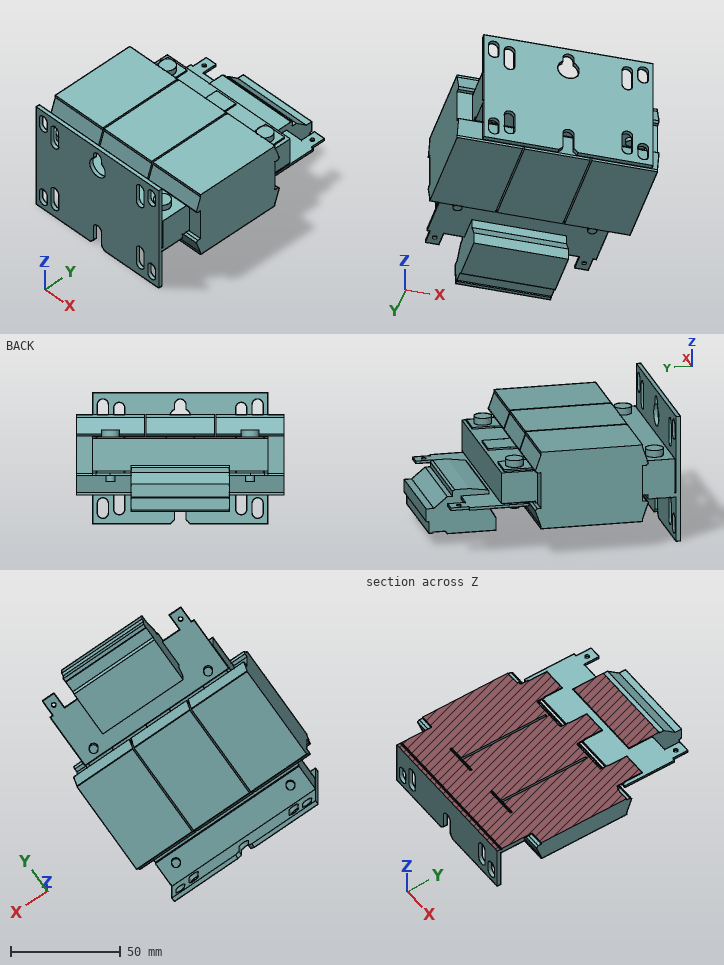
import cadquery as cq


PLATE_WIDTH = 80.2
PLATE_HEIGHT = 60.0
PLATE_THICK = 2.1
FOOT_LENGTH = 15.2
FOOT_THICK = 2.1
SLOT_WIDTH = 5.0
OUTER_SLOT = {"x": 35.4, "length": 9.3, "heights": (7.3, 52.4)}
INNER_SLOT = {"x": 27.9, "length": 13.4, "heights": (11.0, 48.9)}
KEYHOLE_Z = 48.1
KEYHOLE_DIAMETER = 10.1
KEYWAY_WIDTH = 5.2
KEYWAY_TOP = 57.0
NOTCH_TOP = 12.7
NOTCH_CHAMFER = 2.0

CORE_MID_Z = 31.6
CORE_HEIGHT = 14.8
CAP_THICK = 0.8
CAPPED_HEIGHT = CORE_HEIGHT + 2 * CAP_THICK
CORE_TOP = CORE_MID_Z + CAPPED_HEIGHT / 2
CORE_BOTTOM = CORE_MID_Z - CAPPED_HEIGHT / 2
LIMB_WIDTH = 16.0
FRONT_YOKE_START = 2.7
FRONT_YOKE_END = FRONT_YOKE_START + LIMB_WIDTH
REAR_YOKE_END = 84.0
REAR_YOKE_START = REAR_YOKE_END - LIMB_WIDTH
SPACER_START = 66.5
TAB_END = 82.4
TAB_WIDTH = 12.5
TAB_ROOT_END = 72.1
TAB_ROOT_WIDTH = 13.1

COIL_WIDTH = 31.1
COIL_GAP = 0.8
COIL_PITCH = COIL_WIDTH + COIL_GAP
COIL_XS = (-COIL_PITCH, 0, COIL_PITCH)
COIL_MID_Y = 43.3
COIL_HALF_LENGTH = 23.9
COIL_HALF_HEIGHT = 18.4
COIL_EDGE_HEIGHT = 1.3
LIP_REACH = 2.8
LIP_SHOULDER_REACH = 2.4
LIP_BASE_REACH = 1.7
LIP_SHOULDER_Z = 10.3
LIP_TIP_Z = 9.5
LIP_BASE_Z = 8.5

BOLT_X = COIL_PITCH
BOLT_YS = (10.4, 76.1)
HEAD_DIAMETER = 8.2
HEAD_HEIGHT = 3.2
SHANK_DIAMETER = 4.1
SHANK_END_Z = 19.4

SHEET_THICK = 1.3
SHEET_START = 71.2
SHEET_END = 99.0
LUG_X = 35.4
LUG_WIDTH = 6.5
LUG_END = 107.4
LUG_HOLE_Y = 102.9
LUG_HOLE_DIAMETER = 2.1

BLOCK_WIDTH = 44.8
BLOCK_PROFILE = [
    (115.2, 18.3), (111.7, 18.3), (105.3, 23.5), (102.9, 23.5), (102.9, 25.8), (101.9, 26.6),
    (95.0, 26.6), (86.4, 25.4), (85.9, 24.9), (85.9, 17.5), (82.4, 11.6), (82.4, 5.6),
    (105.3, 5.6), (106.4, 6.9), (111.9, 6.9), (112.3, 6.5), (114.0, 6.5), (114.0, 11.9),
    (115.2, 12.3),
]


def block(width, y_range, z_range, x=0):
    """Box centred on x, spanning the given y and z ranges."""
    length = y_range[1] - y_range[0]
    height = z_range[1] - z_range[0]
    corner = (x - width / 2, y_range[0], z_range[0])
    return cq.Workplane("XY").box(width, length, height, centered=False).translate(corner)


def cylinder(diameter, x, y, z_range):
    """Upright cylinder spanning the given z range."""
    plane = cq.Workplane("XY", origin=(x, y, z_range[0]))
    return plane.circle(diameter / 2).extrude(z_range[1] - z_range[0])


def extrude_along_x(profile, width, x=0):
    """Prism with a (y, z) outline, centred on x."""
    plane = cq.Workplane("YZ", origin=(x, 0, 0))
    return plane.polyline(profile).close().extrude(width / 2, both=True)


def through_plate(sketch):
    """Cutter through the mounting plate from a sketch on the XZ plane."""
    return sketch.extrude(-PLATE_THICK)


def upright_slot(x, z, length, width):
    return through_plate(cq.Workplane("XZ").center(x, z).slot2D(length, width, 90))


def mounting_plate():
    plate = block(PLATE_WIDTH, (0, PLATE_THICK), (0, PLATE_HEIGHT))
    for slot in (OUTER_SLOT, INNER_SLOT):
        for x in (-slot["x"], slot["x"]):
            for z in slot["heights"]:
                plate = plate.cut(upright_slot(x, z, slot["length"], SLOT_WIDTH))

    entry = cq.Workplane("XZ").center(0, KEYHOLE_Z).circle(KEYHOLE_DIAMETER / 2)
    plate = plate.cut(through_plate(entry))
    keyway_length = KEYWAY_TOP - KEYHOLE_Z
    keyway_mid = (KEYWAY_TOP + KEYHOLE_Z) / 2
    plate = plate.cut(upright_slot(0, keyway_mid, keyway_length, KEYWAY_WIDTH))

    half = KEYWAY_WIDTH / 2
    mouth = half + NOTCH_CHAMFER
    notch = (
        cq.Workplane("XZ")
        .moveTo(-mouth, 0)
        .lineTo(-half, NOTCH_CHAMFER)
        .lineTo(-half, NOTCH_TOP - half)
        .threePointArc((0, NOTCH_TOP), (half, NOTCH_TOP - half))
        .lineTo(half, NOTCH_CHAMFER)
        .lineTo(mouth, 0)
        .close()
    )
    plate = plate.cut(through_plate(notch))

    foot_levels = (CORE_BOTTOM - FOOT_THICK, CORE_BOTTOM)
    foot = block(PLATE_WIDTH, (PLATE_THICK, FOOT_LENGTH), foot_levels)
    return plate.union(foot)


def core():
    capped = (CORE_BOTTOM, CORE_TOP)
    bare = (CORE_BOTTOM + CAP_THICK, CORE_TOP - CAP_THICK)
    body = block(PLATE_WIDTH, (FRONT_YOKE_START, FRONT_YOKE_END), capped)
    body = body.union(block(PLATE_WIDTH, (SPACER_START, REAR_YOKE_START), capped))
    body = body.union(block(PLATE_WIDTH, (REAR_YOKE_START, REAR_YOKE_END), bare))
    limb_offset = (PLATE_WIDTH - LIMB_WIDTH) / 2
    for x in (-limb_offset, 0, limb_offset):
        body = body.union(block(LIMB_WIDTH, (FRONT_YOKE_END, SPACER_START), capped, x))
    for x in COIL_XS:
        body = body.union(block(TAB_WIDTH, (SPACER_START, TAB_END), capped, x))
        body = body.union(block(TAB_ROOT_WIDTH, (SPACER_START, TAB_ROOT_END), capped, x))
    return body


def coils():
    quarter = [
        (0, LIP_BASE_Z),
        (LIP_BASE_REACH, LIP_BASE_Z),
        (LIP_REACH, LIP_TIP_Z),
        (LIP_SHOULDER_REACH, LIP_SHOULDER_Z),
        (0, COIL_HALF_HEIGHT - COIL_EDGE_HEIGHT),
        (0, COIL_HALF_HEIGHT),
    ]
    upper_rear = [(COIL_HALF_LENGTH + reach, z) for reach, z in quarter]
    upper_front = [(-y, z) for y, z in reversed(upper_rear)]
    upper = upper_rear + upper_front
    outline = upper + [(-y, -z) for y, z in upper]
    profile = [(COIL_MID_Y + y, CORE_MID_Z + z) for y, z in outline]
    group = cq.Workplane("XY")
    for x in COIL_XS:
        group = group.union(extrude_along_x(profile, COIL_WIDTH, x))
    return group


def bolts():
    group = cq.Workplane("XY")
    for x in (-BOLT_X, BOLT_X):
        for y in BOLT_YS:
            group = group.union(cylinder(HEAD_DIAMETER, x, y, (CORE_TOP, CORE_TOP + HEAD_HEIGHT)))
            group = group.union(cylinder(SHANK_DIAMETER, x, y, (SHANK_END_Z, CORE_TOP)))
    return group


def terminal_sheet():
    levels = (CORE_BOTTOM - SHEET_THICK, CORE_BOTTOM)
    sheet = block(PLATE_WIDTH, (SHEET_START, SHEET_END), levels)
    for x in (-LUG_X, LUG_X):
        sheet = sheet.union(block(LUG_WIDTH, (SHEET_START, LUG_END), levels, x))
        sheet = sheet.cut(cylinder(LUG_HOLE_DIAMETER, x, LUG_HOLE_Y, levels))
    return sheet


def terminal_block():
    return extrude_along_x(BLOCK_PROFILE, BLOCK_WIDTH)


result = mounting_plate()
for component in (core(), coils(), bolts(), terminal_sheet(), terminal_block()):
    result = result.union(component)